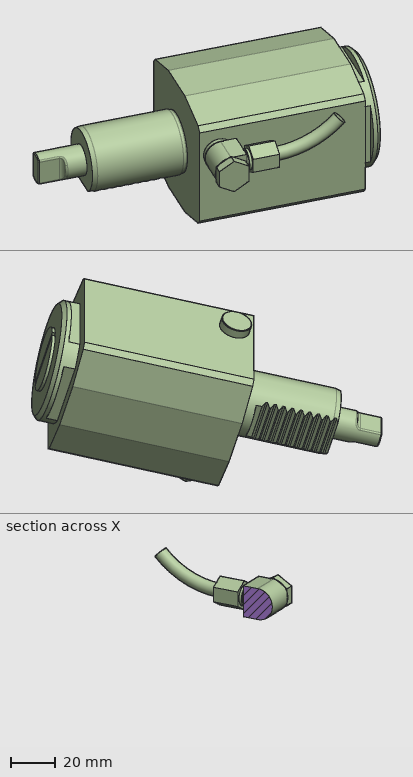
import cadquery as cq
import math


BODY_LENGTH = 78.5
BODY_HALF = 31.0
TOP_FLAT_HALF = 11.0
SLOPE_END_X = 28.8
SLOPE_END_Z = 26.0
SIDE_FLAT_HALF = 23.5

NUT_DIAMETER = 55.0
NUT_FLAT_HALF = 23.0
NUT_COLLAR_LENGTH = 5.1
NUT_FLANGE_LENGTH = 3.9
NUT_CHAMFER = 1.9
PAD_DIAMETER = 29.1
PAD_HEIGHT = 1.4
PAD_SLOT_WIDTH = 2.0

SHANK_DIAMETER = 30.0
SHANK_END_DIAMETER = 29.1
SHANK_LENGTH = 45.0
RELIEF_LENGTH = 0.5
REAR_CONE_LENGTH = 1.5
FRONT_CONE_LENGTH = 2.3

RACK_START = 7.2
RACK_DEPTH_Z = 12.1
RACK_ROOT_Z = 10.7
FIRST_GAP = 11.5
LAST_GAP = 43.6
GAP_COUNT = 9
GAP_TOP_HALF = 1.7
GAP_ROOT_HALF = 0.39

SPINDLE_DIAMETER = 14.5
SPINDLE_END = 66.8
BLADE_START = 55.0
BLADE_THICKNESS = 7.8
BLADE_ROOT_RADIUS = 1.9
BLADE_EDGE_RADIUS = 1.0
TIP_CHAMFER = 0.5

CROSS_Y = 9.0
CROSS_Z = 11.0
BUTTON_DIAMETER = 13.9
BUTTON_HEIGHT = 4.2
BUTTON_CHAMFER = 0.3

STUB_DIAMETER = 14.5
STUB_LENGTH = 2.3
ELBOW_RADIUS = 7.5
ELBOW_LENGTH = 14.0
PLUG_FLATS = 14.0
PLUG_LENGTH = 4.4

HOSE_X = 40.3
NECK_DIAMETER = 8.2
NECK_LENGTH = 2.2
RING_DIAMETER = 9.8
RING_LENGTH = 1.2
HOSE_NUT_FLATS = 12.0
HOSE_NUT_LENGTH = 12.5
HOSE_DIAMETER = 6.4
HOSE_REACH = 30.5
HOSE_RISE = 12.8


def rod_y(diameter, start, length, x=0, z=0):
    """Cylinder along +Y from Y = start."""
    plane = cq.Plane(origin=(x, start, z), xDir=(1, 0, 0), normal=(0, 1, 0))
    return cq.Workplane(plane).circle(diameter / 2).extrude(length)


def rod_x(diameter, start, length):
    """Cylinder along +X on the cross axis from X = start."""
    plane = cq.Plane(origin=(start, CROSS_Y, CROSS_Z), xDir=(0, 0, 1), normal=(1, 0, 0))
    return cq.Workplane(plane).circle(diameter / 2).extrude(length)


def hexagon(origin, normal, flats, length):
    """Hexagonal prism with two opposite corners pointing up and down."""
    plane = cq.Plane(origin=origin, xDir=(0, 0, 1), normal=normal)
    corner_diameter = flats / math.cos(math.pi / 6)
    return cq.Workplane(plane).polygon(6, corner_diameter).extrude(length)


def make_body():
    right_corner = [
        (BODY_HALF, SIDE_FLAT_HALF),
        (SLOPE_END_X, SLOPE_END_Z),
        (TOP_FLAT_HALF, BODY_HALF),
    ]
    upper = right_corner + [(-x, z) for x, z in reversed(right_corner)]
    lower = [(-x, -z) for x, z in upper]
    return cq.Workplane("XZ").polyline(upper + lower).close().extrude(-BODY_LENGTH)


def make_clamping_nut():
    collar = rod_y(NUT_DIAMETER, BODY_LENGTH, NUT_COLLAR_LENGTH)
    square = cq.Workplane("XY").box(2 * NUT_FLAT_HALF, 2 * BODY_LENGTH, 2 * NUT_FLAT_HALF)
    square = square.translate((0, BODY_LENGTH, 0))
    collar = collar.intersect(square)

    flange_start = BODY_LENGTH + NUT_COLLAR_LENGTH
    flange = rod_y(NUT_DIAMETER, flange_start, NUT_FLANGE_LENGTH)
    flange = flange.faces(">Y").chamfer(NUT_CHAMFER)

    pad_start = flange_start + NUT_FLANGE_LENGTH
    pad = rod_y(PAD_DIAMETER, pad_start, PAD_HEIGHT)
    slot = cq.Workplane("XY").box(NUT_DIAMETER, PAD_HEIGHT, PAD_SLOT_WIDTH)
    pad = pad.cut(slot.translate((0, pad_start + PAD_HEIGHT / 2, 0)))
    return collar.union(flange).union(pad)


def make_shank():
    radius = SHANK_DIAMETER / 2
    end_radius = SHANK_END_DIAMETER / 2
    profile = [
        (0, 0),
        (end_radius, 0),
        (end_radius, -RELIEF_LENGTH),
        (radius, -RELIEF_LENGTH - REAR_CONE_LENGTH),
        (radius, -SHANK_LENGTH + FRONT_CONE_LENGTH),
        (end_radius, -SHANK_LENGTH),
        (0, -SHANK_LENGTH),
    ]
    shank = cq.Workplane("XY").polyline(profile).close().revolve(360, (0, 0, 0), (0, 1, 0))
    return shank.cut(make_rack_cutter())


def make_rack_cutter():
    """Flat below the tooth tips joined with one trapezoid per tooth gap."""
    pitch = (LAST_GAP - FIRST_GAP) / (GAP_COUNT - 1)
    outline = [(-RACK_START, -SHANK_DIAMETER), (-RACK_START, -RACK_DEPTH_Z)]
    for index in range(GAP_COUNT):
        center = FIRST_GAP + index * pitch
        outline += [
            (-center + GAP_TOP_HALF, -RACK_DEPTH_Z),
            (-center + GAP_ROOT_HALF, -RACK_ROOT_Z),
            (-center - GAP_ROOT_HALF, -RACK_ROOT_Z),
            (-center - GAP_TOP_HALF, -RACK_DEPTH_Z),
        ]
    outline.append((-LAST_GAP - GAP_TOP_HALF, -SHANK_DIAMETER))
    return cq.Workplane("YZ").polyline(outline).close().extrude(SHANK_DIAMETER, both=True)


def make_spindle():
    spindle = rod_y(SPINDLE_DIAMETER, -SPINDLE_END, SPINDLE_END)
    blade_length = SPINDLE_END - BLADE_START
    side_cutter = (
        cq.Workplane("XY")
        .box(SPINDLE_DIAMETER, 2 * blade_length, 2 * SPINDLE_DIAMETER)
        .translate(((BLADE_THICKNESS + SPINDLE_DIAMETER) / 2, -BLADE_START - blade_length, 0))
        .edges("<X and >Y")
        .fillet(BLADE_ROOT_RADIUS)
    )
    spindle = spindle.cut(side_cutter).cut(side_cutter.mirror("YZ"))
    blade_region = cq.selectors.BoxSelector(
        (-SPINDLE_DIAMETER, -SPINDLE_END - blade_length, -SPINDLE_DIAMETER),
        (SPINDLE_DIAMETER, -BLADE_START - BLADE_ROOT_RADIUS, SPINDLE_DIAMETER),
    )
    blade_edges = spindle.edges(blade_region).edges("|Y")
    spindle = blade_edges.fillet(BLADE_EDGE_RADIUS)
    return spindle.faces("<Y").chamfer(TIP_CHAMFER)


def make_button():
    button = rod_x(BUTTON_DIAMETER, -BODY_HALF - BUTTON_HEIGHT, BUTTON_HEIGHT)
    return button.faces("<X").chamfer(BUTTON_CHAMFER)


def make_elbow():
    """Stub, elbow block with a round front half, and hexagonal end plug."""
    elbow_start = BODY_HALF + STUB_LENGTH
    elbow_end = elbow_start + ELBOW_LENGTH
    stub = rod_x(STUB_DIAMETER, BODY_HALF, STUB_LENGTH)
    round_half = rod_x(2 * ELBOW_RADIUS, elbow_start, ELBOW_LENGTH)
    square_half = cq.Workplane("XY").box(ELBOW_LENGTH, ELBOW_RADIUS, 2 * ELBOW_RADIUS)
    square_half = square_half.translate(
        (elbow_start + ELBOW_LENGTH / 2, CROSS_Y + ELBOW_RADIUS / 2, CROSS_Z)
    )
    plug = hexagon((elbow_end, CROSS_Y, CROSS_Z), (1, 0, 0), PLUG_FLATS, PLUG_LENGTH)
    return stub.union(round_half).union(square_half).union(plug)


def make_hose():
    """Neck, ring and nut on the elbow, and the hose bending upwards."""
    neck_start = CROSS_Y + ELBOW_RADIUS
    ring_start = neck_start + NECK_LENGTH
    nut_start = ring_start + RING_LENGTH
    hose_start = nut_start + HOSE_NUT_LENGTH

    neck = rod_y(NECK_DIAMETER, neck_start, NECK_LENGTH, HOSE_X, CROSS_Z)
    ring = rod_y(RING_DIAMETER, ring_start, RING_LENGTH, HOSE_X, CROSS_Z)
    nut = hexagon((HOSE_X, nut_start, CROSS_Z), (0, 1, 0), HOSE_NUT_FLATS, HOSE_NUT_LENGTH)

    bend_angle = 2 * math.atan2(HOSE_RISE, HOSE_REACH)
    bend_radius = HOSE_REACH / math.sin(bend_angle)
    plane = cq.Plane(origin=(HOSE_X, hose_start, CROSS_Z), xDir=(1, 0, 0), normal=(0, 1, 0))
    hose = (
        cq.Workplane(plane)
        .circle(HOSE_DIAMETER / 2)
        .revolve(math.degrees(bend_angle), (0, -bend_radius, 0), (1, -bend_radius, 0))
    )
    return neck.union(ring).union(nut).union(hose)


result = (
    make_body()
    .union(make_clamping_nut())
    .union(make_shank())
    .union(make_spindle())
    .union(make_button())
    .union(make_elbow())
    .union(make_hose())
)